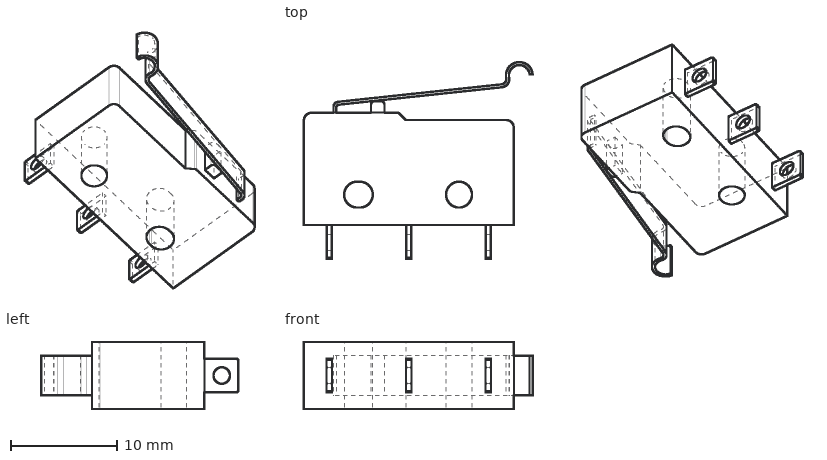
import cadquery as cq
import math


housing_length = 19.8
housing_depth = 10.6
housing_height = 6.35
step_drop = 0.7
step_foot_x = 9.63
step_top_radius = 0.32
left_corner_radius = 0.75
right_corner_radius = 0.7

mount_diameter = 2.42
mount_y = 2.87
slot_length = 2.68
slot_x = 5.15
round_hole_x = 14.64

terminal_count = 3
terminal_spacing = 7.5
terminal_thickness = 0.5
terminal_length = 3.2
terminal_width = 3.2
terminal_hole_diameter = 1.53
terminal_hole_to_tip = 1.55
terminal_tip_chamfer = 0.13

strip_thickness = 0.3
strip_width = 3.75
stem_x = 2.94
stem_length = 0.52
stem_bend_radius = 0.37
lever_angle = math.radians(6.1)
hook_bend_radius = 0.63
overall_length = 21.6
lever_rise = 4.77
hook_outer_radius = 1.27
hook_tip_angle = math.radians(5)

plunger_x = 6.97
plunger_length = 1.3
plunger_rise = 1.08
plunger_corner_radius = 0.32


def point_on_arc(center, radius, angle):
    return (center[0] + radius * math.cos(angle), center[1] + radius * math.sin(angle))


def make_housing_block():
    low_top = housing_depth - step_drop
    step_top_x = step_foot_x - step_drop
    block = (
        cq.Workplane("XY", origin=(0, 0, -housing_height / 2))
        .moveTo(0, 0)
        .lineTo(housing_length, 0)
        .lineTo(housing_length, low_top)
        .lineTo(step_foot_x, low_top)
        .lineTo(step_top_x, housing_depth)
        .lineTo(0, housing_depth)
        .close()
        .extrude(housing_height)
    )
    rounded_corners = [
        (0, housing_depth, left_corner_radius),
        (housing_length, low_top, right_corner_radius),
        (step_top_x, housing_depth, step_top_radius),
    ]
    for x, y, radius in rounded_corners:
        corner = cq.selectors.NearestToPointSelector((x, y, 0))
        block = block.edges("|Z").edges(corner).fillet(radius)
    return block


def make_mounting_holes():
    sketch = cq.Workplane("XY", origin=(0, mount_y, -housing_height / 2))
    slot = sketch.center(slot_x, 0).slot2D(slot_length, mount_diameter).extrude(housing_height)
    hole = sketch.center(round_hole_x, 0).circle(mount_diameter / 2).extrude(housing_height)
    return slot.union(hole)


def make_terminal(x):
    middle_y = -terminal_length / 2
    blade = (
        cq.Workplane("XY")
        .box(terminal_thickness, terminal_length, terminal_width)
        .edges("|X and <Y")
        .chamfer(terminal_tip_chamfer)
        .faces(">X")
        .workplane(centerOption="CenterOfBoundBox")
        .center(terminal_hole_to_tip - terminal_length / 2, 0)
        .hole(terminal_hole_diameter)
    )
    return blade.translate((x, middle_y, 0))


def make_housing():
    body = make_housing_block().cut(make_mounting_holes())
    for index in range(terminal_count):
        offset = (index - (terminal_count - 1) / 2) * terminal_spacing
        body = body.union(make_terminal(housing_length / 2 + offset))
    return body


def make_lever():
    hook_radius = hook_outer_radius - strip_thickness / 2
    hook_center = (
        overall_length - hook_outer_radius * math.cos(hook_tip_angle),
        housing_depth + lever_rise - hook_outer_radius,
    )
    hook_top = point_on_arc(hook_center, hook_radius, math.pi / 2)
    hook_tip = point_on_arc(hook_center, hook_radius, hook_tip_angle)

    stem_top = (stem_x, housing_depth + stem_length)
    stem_bend_center = (stem_x + stem_bend_radius, stem_top[1])
    arm_start = point_on_arc(stem_bend_center, stem_bend_radius, math.pi / 2 + lever_angle)
    stem_bend_middle = point_on_arc(
        stem_bend_center, stem_bend_radius, (3 * math.pi / 2 + lever_angle) / 2
    )

    hook_above_arm = (
        (hook_center[1] - arm_start[1]) * math.cos(lever_angle)
        - (hook_center[0] - arm_start[0]) * math.sin(lever_angle)
    )
    center_distance = hook_radius + hook_bend_radius
    bend_end_angle = lever_angle + math.asin((hook_above_arm - hook_bend_radius) / center_distance)
    bend_center = point_on_arc(hook_center, center_distance, math.pi + bend_end_angle)
    bend_start_angle = lever_angle - math.pi / 2
    arm_end = point_on_arc(bend_center, hook_bend_radius, bend_start_angle)
    hook_start = point_on_arc(bend_center, hook_bend_radius, bend_end_angle)
    hook_bend_middle = point_on_arc(
        bend_center, hook_bend_radius, (bend_start_angle + bend_end_angle) / 2
    )

    centreline = (
        cq.Workplane("XY")
        .moveTo(stem_x, housing_depth)
        .lineTo(*stem_top)
        .threePointArc(stem_bend_middle, arm_start)
        .lineTo(*arm_end)
        .threePointArc(hook_bend_middle, hook_start)
        .threePointArc(hook_top, hook_tip)
    )
    return (
        cq.Workplane("XZ", origin=(stem_x, housing_depth, 0))
        .rect(strip_thickness, strip_width)
        .sweep(centreline)
    )


def make_plunger():
    return (
        cq.Workplane("XY")
        .box(plunger_length, plunger_rise, strip_width)
        .edges("|Z and >Y")
        .fillet(plunger_corner_radius)
        .translate((plunger_x, housing_depth + plunger_rise / 2, 0))
    )


housing = make_housing()
lever = make_lever()
plunger = make_plunger()

result = cq.Compound.makeCompound([housing.val(), lever.val(), plunger.val()])